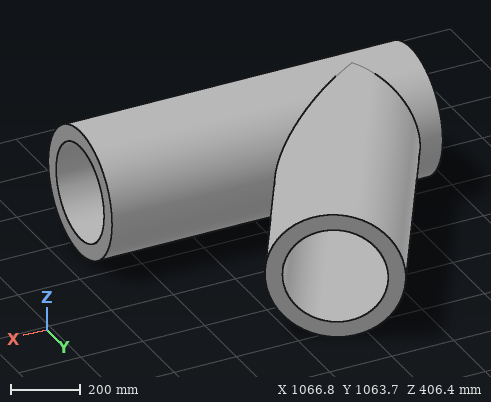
import cadquery as cq
import math

outer_diameter = 406.4
bore_diameter = 304.8
run_length = 1066.8
inlet_length = 190.5
branch_length = 876.3
branch_angle = 60.0

junction = cq.Vector(0, 0, 0)
inlet_center = cq.Vector(-inlet_length, 0, 0)
run_direction = cq.Vector(1, 0, 0)
branch_direction = cq.Vector(
    math.cos(math.radians(branch_angle)),
    math.sin(math.radians(branch_angle)),
    0,
)


def fitting_cylinders(diameter):
    """Run and branch cylinders of one diameter, joined at the junction."""
    radius = diameter / 2
    run = cq.Solid.makeCylinder(radius, run_length, inlet_center, run_direction)
    branch = cq.Solid.makeCylinder(radius, branch_length, junction, branch_direction)
    return cq.Workplane(obj=run).union(cq.Workplane(obj=branch))


body = fitting_cylinders(outer_diameter)
bores = fitting_cylinders(bore_diameter)
result = body.cut(bores)